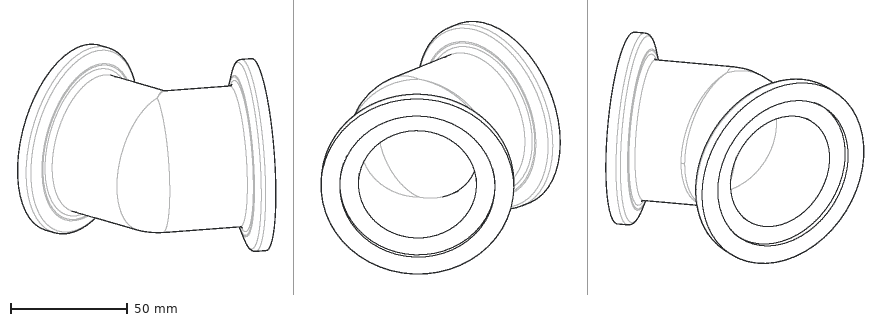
import cadquery as cq
import math

overall_length = 105.2
bend_angle = 45.0
flange_diameter = 83.0
tube_diameter = 60.9
bore_diameter = 50.8
recess_diameter = 66.8
recess_depth = 2.3

rim_thickness = 5.8
flange_thickness = 8.3
taper_angle = 20.0
rim_round = 1.8
back_edge_round = 1.8
hub_fillet = 2.2
crease_fillet = 2.5

pick_margin = 0.1

flange_radius = flange_diameter / 2
tube_radius = tube_diameter / 2
bore_radius = bore_diameter / 2
bend_cos = math.cos(math.radians(bend_angle))
leg_length = (overall_length - flange_radius * bend_cos) / (1 + bend_cos)
taper_drop = (flange_thickness - rim_thickness) / math.tan(math.radians(taper_angle))
back_radius = flange_radius - taper_drop


def leg(radius):
    """Straight round bar along -X, ending at the bend centre."""
    return cq.Workplane("YZ").circle(radius).extrude(-leg_length)


def outlet(shape):
    """Turn an inlet shape on -X into its counterpart on the bent leg."""
    return shape.mirror("YZ").rotate((0, 0, 0), (0, 0, 1), bend_angle)


def ball_sector(radius):
    """Spherical wedge that rounds the outside of the bend, from -Y through the bend angle."""
    half_disc = cq.Workplane("YZ").moveTo(0, radius).threePointArc((-radius, 0), (0, -radius)).close()
    return half_disc.revolve(bend_angle, (0, 0), (0, 1))


def bend_run(radius):
    """Both legs and the rounded outside of the bend, as one round run."""
    inlet_leg = leg(radius)
    return inlet_leg.union(outlet(inlet_leg)).union(ball_sector(radius))


def tube_outside():
    """Solid tube run with the mitre crease on the inside of the bend filleted."""
    return bend_run(tube_radius).edges("%ELLIPSE").fillet(crease_fillet)


def round_circle(shape, x, radius, round_radius):
    """Fillet the circular edge of the given radius that lies at x around the X axis."""
    reach = radius + pick_margin
    low_corner = (x - pick_margin, -reach, -reach)
    high_corner = (x + pick_margin, reach, reach)
    window = cq.selectors.BoxSelector(low_corner, high_corner, boundingbox=True)
    return shape.edges(window).edges("%CIRCLE").fillet(round_radius)


def flange():
    """Solid inlet flange with its tapered back flowing into the tube through a concave hub fillet."""
    face_x = -leg_length
    back_x = face_x + flange_thickness
    hub_end_x = back_x + hub_fillet
    hub_top = tube_radius + hub_fillet
    arc_offset = hub_fillet * math.cos(math.radians(45))
    profile = (
        cq.Workplane("XY")
        .moveTo(face_x, 0)
        .lineTo(face_x, flange_radius)
        .lineTo(face_x + rim_thickness, flange_radius)
        .lineTo(back_x, back_radius)
        .lineTo(back_x, hub_top)
        .threePointArc((hub_end_x - arc_offset, hub_top - arc_offset), (hub_end_x, tube_radius))
        .lineTo(hub_end_x, 0)
        .close()
    )
    disc = profile.revolve(360, (0, 0), (1, 0))
    disc = round_circle(disc, face_x + rim_thickness, flange_radius, rim_round)
    return round_circle(disc, back_x, back_radius, back_edge_round)


def face_recess():
    """Shallow round seat sunk into the inlet face."""
    return cq.Workplane("YZ", origin=(-leg_length, 0, 0)).circle(recess_diameter / 2).extrude(recess_depth)


def make_elbow():
    """Flanged elbow with a through bore and a seat in each end face."""
    body = tube_outside()
    for end in (flange(), outlet(flange())):
        body = body.union(end)
    for cut in (bend_run(bore_radius), face_recess(), outlet(face_recess())):
        body = body.cut(cut)
    return body


elbow = make_elbow()

result = cq.Compound.makeCompound([elbow.val()])